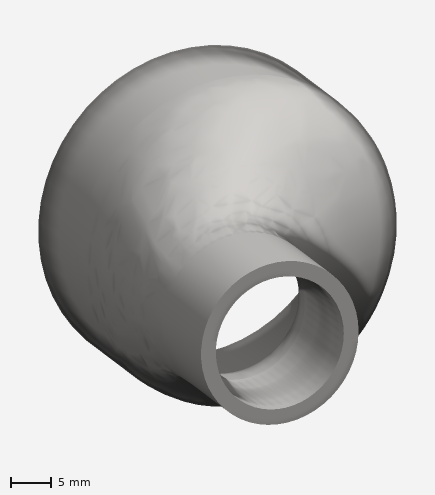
import cadquery as cq
import math


total_length = 50.0
collar_length = 12.0
large_diameter = 42.4
small_diameter = 21.3
wall = 2.0
blend_steps = 10

blend_length = total_length - 2 * collar_length
blend_end = total_length - collar_length
diameter_drop = large_diameter - small_diameter
small_collar_y = -diameter_drop / 2

sloped_handle = math.hypot(blend_length, diameter_drop) / 3
flush_handle = blend_length / 3


def curve_x(handle, t):
    """X position at parameter t (0 to 1) on an S-curve with the given handle length."""
    start_pull = 3 * t * (1 - t) ** 2 * handle
    end_pull = 3 * t**2 * (1 - t) * (blend_length - handle)
    return collar_length + start_pull + end_pull + t**3 * blend_length


def blend_section(large_radius, small_radius, t):
    """Circle across the blend, tilted slightly because the +Y side follows the longer curve."""
    drop = 3 * t**2 - 2 * t**3
    radius = large_radius + (small_radius - large_radius) * drop
    sloped_x = curve_x(sloped_handle, t)
    flush_x = curve_x(flush_handle, t)
    center = ((sloped_x + flush_x) / 2, small_collar_y * drop, 0)
    normal = (2 * radius, flush_x - sloped_x, 0)
    plane = cq.Plane(origin=center, xDir=(0, 0, 1), normal=normal)
    circle = cq.Wire.makeCircle(radius, cq.Vector(0, 0, 0), cq.Vector(0, 0, 1))
    return circle.moved(cq.Location(plane))


def collar(x, y, radius):
    """Straight cylinder along X, starting at x."""
    return cq.Workplane("YZ", origin=(x, y, 0)).circle(radius).extrude(collar_length)


def reducer_body(large_radius, small_radius):
    """Solid of two collars joined by the S-shaped blend."""
    sections = [
        blend_section(large_radius, small_radius, step / blend_steps)
        for step in range(blend_steps + 1)
    ]
    blend = cq.Workplane(cq.Solid.makeLoft(sections))
    large_collar = collar(0, 0, large_radius)
    small_collar = collar(blend_end, small_collar_y, small_radius)
    return large_collar.union(blend).union(small_collar)


outside = reducer_body(large_diameter / 2, small_diameter / 2)
bore = reducer_body(large_diameter / 2 - wall, small_diameter / 2 - wall)
result = outside.cut(bore)